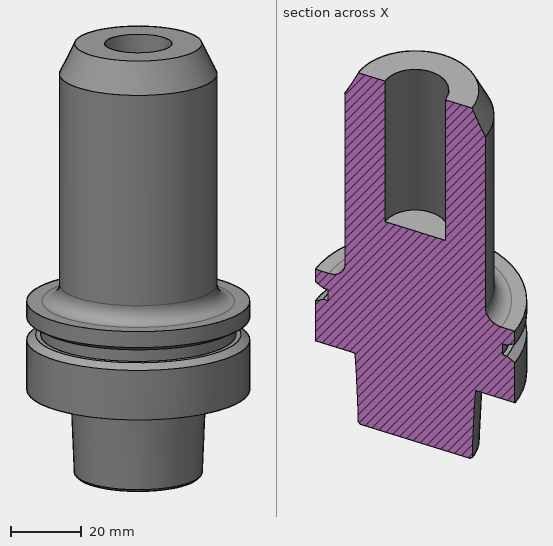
import cadquery as cq

total_height = 126.6
shank_length = 25.1
lower_collar_height = 14.5
lower_bevel_height = 1.5
groove_floor_height = 3.8
upper_bevel_height = 1.4
upper_collar_height = 4.7
nose_height = 8.9
shank_chamfer_height = 0.8

collar_radius = 31.5
groove_edge_radius = 29.0
groove_radius = 27.6
body_radius = 22.3
nose_radius = 18.0
shank_top_radius = 19.1
shank_bottom_radius = 18.1
shank_chamfer_width = 0.8
root_fillet_radius = 5.0

bore_radius = 9.5
bore_depth = 50.6

lower_collar_top = shank_length + lower_collar_height
groove_bottom = lower_collar_top + lower_bevel_height
groove_top = groove_bottom + groove_floor_height
upper_collar_bottom = groove_top + upper_bevel_height
collar_top = upper_collar_bottom + upper_collar_height
nose_bottom = total_height - nose_height


def tool_holder_body():
    """Revolve the half section: tapered shank, grooved collar, body and nose."""
    profile = (
        cq.Workplane("XZ")
        .lineTo(shank_bottom_radius - shank_chamfer_width, 0)
        .lineTo(shank_bottom_radius, shank_chamfer_height)
        .lineTo(shank_top_radius, shank_length)
        .lineTo(collar_radius, shank_length)
        .lineTo(collar_radius, lower_collar_top)
        .lineTo(groove_edge_radius, groove_bottom)
        .lineTo(groove_radius, groove_bottom)
        .lineTo(groove_radius, groove_top)
        .lineTo(groove_edge_radius, groove_top)
        .lineTo(collar_radius, upper_collar_bottom)
        .lineTo(collar_radius, collar_top)
        .lineTo(body_radius + root_fillet_radius, collar_top)
        .radiusArc((body_radius, collar_top + root_fillet_radius), root_fillet_radius)
        .lineTo(body_radius, nose_bottom)
        .lineTo(nose_radius, total_height)
        .lineTo(0, total_height)
        .close()
    )
    return profile.revolve(360, (0, 0, 0), (0, 1, 0))


def bore():
    """Flat-bottomed cylinder cut down from the nose."""
    return (
        cq.Workplane("XY")
        .workplane(offset=total_height - bore_depth)
        .circle(bore_radius)
        .extrude(bore_depth)
    )


result = tool_holder_body().cut(bore())